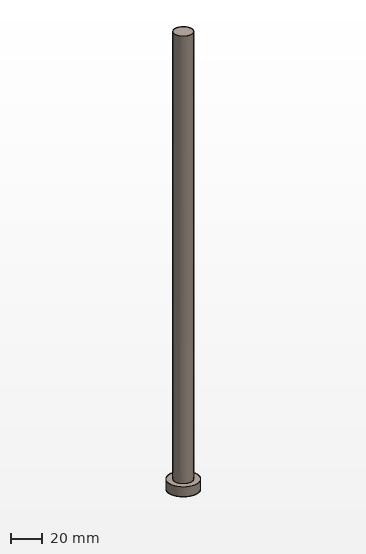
import cadquery as cq

total_length = 322.0
head_diameter = 22.0
head_thickness = 7.0
shank_diameter = 13.2

head = cq.Workplane("XY").circle(head_diameter / 2).extrude(head_thickness)
shank = cq.Workplane("XY").circle(shank_diameter / 2).extrude(total_length)

result = head.union(shank)